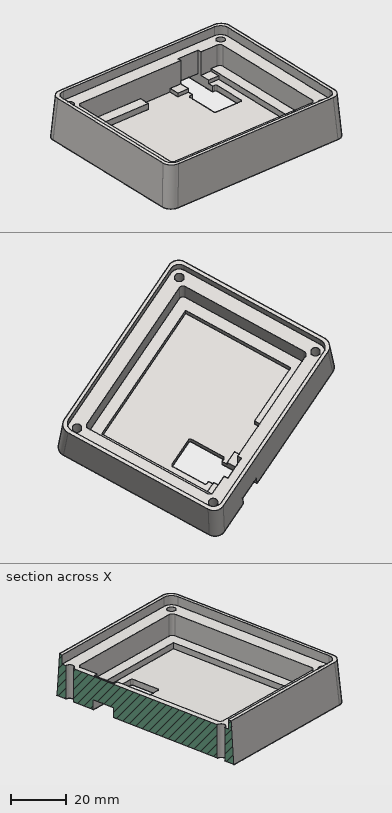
import cadquery as cq
import math

length = 83.0
width = 69.5
height = 17.5
draft_angle = 4.0
corner_radius = 4.0

lid_recess_width = 64.4
lid_recess_length = 77.7
lid_recess_radius = 3.5
lid_recess_depth = 3.7
cavity_width = 53.1
cavity_length = 66.9
cavity_radius = 1.5
ledge_z = 5.0
floor_pocket_width = 44.3
floor_pocket_length = 58.1
floor_z = 2.5

low_ledge_z = 4.0
low_ledge_end_y = 9.9
channel_end_y = -4.0

hole_diameter = 3.4
hole_x = 28.7
hole_y = 35.4

window_left_x = -19.9
window_right_x = -5.15
window_bottom_y = 13.0
window_top_y = 25.9
window_radius = 0.7
slot_bottom_y = 14.9
slot_top_y = 24.3
slot_height = 4.0
slot_shaft_x = -28.1


def box_between(x_range, y_range, z_range):
    """Axis-aligned box between the given limits."""
    sizes = [limits[1] - limits[0] for limits in (x_range, y_range, z_range)]
    corner = (x_range[0], y_range[0], z_range[0])
    return cq.Workplane("XY").box(*sizes, centered=False).translate(corner)


def rounded_outline(x_size, y_size, radius, z):
    """Closed rectangle with rounded corners at height z."""
    return cq.Sketch().rect(x_size, y_size).vertices().fillet(radius).moved(cq.Location(cq.Vector(0, 0, z)))


def make_shell():
    """Solid block whose walls lean inward and keep the same corner radius."""
    inset = 2 * height * math.tan(math.radians(draft_angle))
    base = rounded_outline(width, length, corner_radius, 0)
    rim = rounded_outline(width - inset, length - inset, corner_radius, height)
    return cq.Workplane("XY").placeSketch(base, rim).loft()


def rounded_pocket(x_size, y_size, radius, bottom_z):
    """Centred pocket with rounded vertical corners, open at the rim."""
    depth = height - bottom_z
    block = cq.Workplane("XY").workplane(offset=bottom_z).rect(x_size, y_size).extrude(depth)
    return block.edges("|Z").fillet(radius)


def cut_interior(body):
    """Lid recess, main cavity, floor pocket and the lowered ledge beside it."""
    body = body.cut(rounded_pocket(
        lid_recess_width, lid_recess_length, lid_recess_radius, height - lid_recess_depth))
    body = body.cut(rounded_pocket(cavity_width, cavity_length, cavity_radius, ledge_z))
    pocket_x = floor_pocket_width / 2
    pocket_y = floor_pocket_length / 2
    side_x = (-cavity_width / 2, -pocket_x)
    body = body.cut(box_between((-pocket_x, pocket_x), (-pocket_y, pocket_y), (floor_z, ledge_z)))
    body = body.cut(box_between(side_x, (low_ledge_end_y, pocket_y), (low_ledge_z, ledge_z)))
    return body.cut(box_between(side_x, (channel_end_y, low_ledge_end_y), (floor_z, ledge_z)))


def cut_screw_holes(body):
    """Through holes in the four corners of the lid recess."""
    holes = cq.Workplane("XY").rect(2 * hole_x, 2 * hole_y, forConstruction=True).vertices()
    return body.cut(holes.circle(hole_diameter / 2).extrude(height))


def cut_connector_opening(body):
    """Floor window, the slot leading to it from the -X wall, and the shaft above the slot."""
    slot_y = (slot_bottom_y, slot_top_y)
    window = box_between(
        (window_left_x, window_right_x), (window_bottom_y, window_top_y), (0, ledge_z))
    body = body.cut(window.edges("|Z").fillet(window_radius))
    body = body.cut(box_between((-width / 2, window_left_x), slot_y, (0, slot_height)))
    return body.cut(box_between((slot_shaft_x, window_left_x), slot_y, (0, height)))


result = cut_connector_opening(cut_screw_holes(cut_interior(make_shell())))